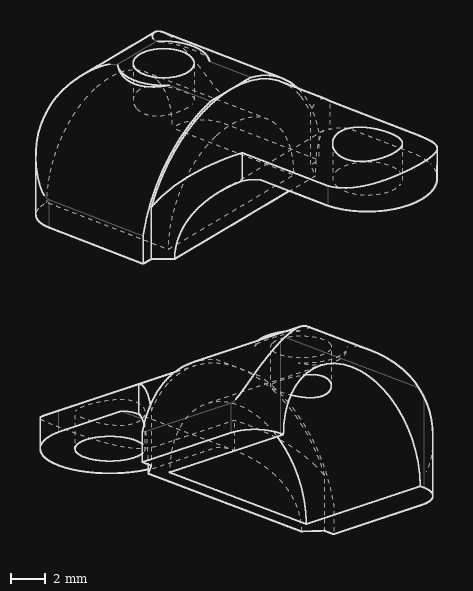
import cadquery as cq
import math

length = 23.0
width = 16.0
height = width / 2

saddle_length = 8.95
saddle_crown_radius = 8.2
corner_radius = 2.0
channel_radius = 5.73

pad_x = 4.0
pad_diameter = 5.3
pad_hole_diameter = 3.5

arm_crown_radius = height
arm_root_width = 14.5
taper_end_x = 13.0
lug_width = 7.98
lug_end_radius = 4.0
lug_hole_diameter = 4.0
lug_x = length - lug_end_radius
lug_underside_z = 5.64

hollow_start_x = 9.98
hollow_radius = 5.82


def cylinder_along_x(radius, start_x, end_x):
    """Solid cylinder on the X axis."""
    return cq.Workplane("YZ", origin=(start_x, 0, 0)).circle(radius).extrude(end_x - start_x)


def upright_cylinder(x, diameter):
    """Solid cylinder standing on the base plane, as tall as the part."""
    return cq.Workplane("XY").center(x, 0).circle(diameter / 2).extrude(height)


def make_saddle():
    block = cq.Workplane("XY").box(saddle_length, width, height, centered=(False, True, False))
    upright_rounding = block.edges("|Z and <X").fillet(corner_radius)
    top_rounding = block.edges("<X and >Z").fillet(corner_radius)
    envelope = upright_rounding.intersect(top_rounding)

    crown = cylinder_along_x(saddle_crown_radius, 0, saddle_length)
    pad = upright_cylinder(pad_x, pad_diameter)
    saddle = crown.union(pad).intersect(envelope)
    return saddle.cut(cylinder_along_x(channel_radius, 0, saddle_length))


def make_hollow():
    """Space under the arm: a concave arc running out into the flat lug underside."""
    center_x = hollow_start_x + hollow_radius

    def arc_point(z):
        return (center_x - math.sqrt(hollow_radius**2 - z**2), z)

    return (
        cq.Workplane("XZ")
        .moveTo(hollow_start_x, 0)
        .threePointArc(arc_point(lug_underside_z / 2), arc_point(lug_underside_z))
        .lineTo(length, lug_underside_z)
        .lineTo(length, 0)
        .close()
        .extrude(width / 2, both=True)
    )


def make_arm():
    lug_side_end_x = lug_x + math.sqrt(lug_end_radius**2 - (lug_width / 2) ** 2)
    plan = (
        cq.Workplane("XY")
        .moveTo(saddle_length, -arm_root_width / 2)
        .lineTo(taper_end_x, -lug_width / 2)
        .lineTo(lug_side_end_x, -lug_width / 2)
        .threePointArc((length, 0), (lug_side_end_x, lug_width / 2))
        .lineTo(taper_end_x, lug_width / 2)
        .lineTo(saddle_length, arm_root_width / 2)
        .close()
        .extrude(height)
    )
    crown = cylinder_along_x(arm_crown_radius, saddle_length, length)
    return plan.intersect(crown).cut(make_hollow())


pad_hole = upright_cylinder(pad_x, pad_hole_diameter)
lug_hole = upright_cylinder(lug_x, lug_hole_diameter)

result = make_saddle().union(make_arm()).cut(pad_hole).cut(lug_hole)